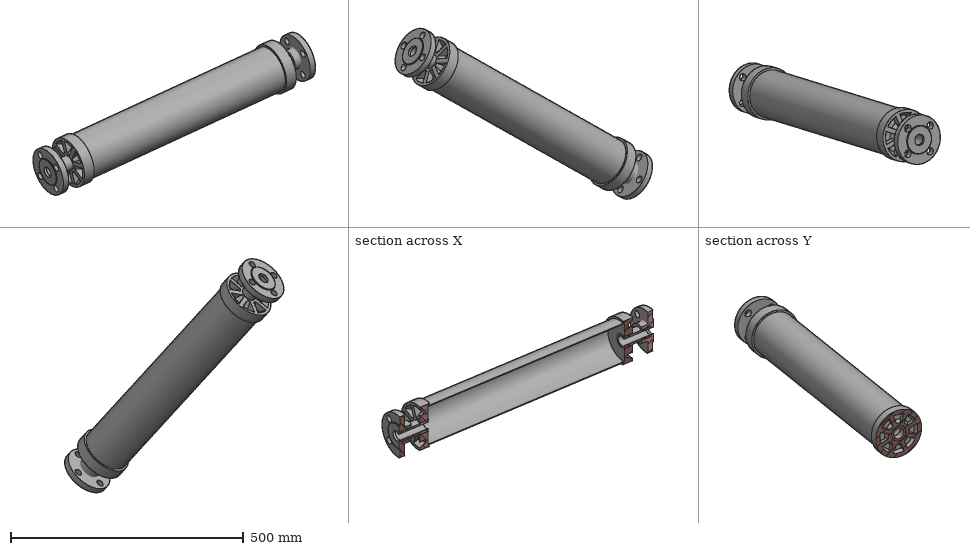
import cadquery as cq
import math

length = 686.0

tube_diameter = 105.0
tube_bore = 99.0

pipe_diameter = 33.5
pipe_bore = 24.0

cap_diameter = 114.5
cap_face_y = 287.0
cap_width = 26.0
cap_socket_depth = 3.0
pocket_depth = 15.0
pocket_draft = math.radians(30)
pocket_mouth_diameter = 101.5
hub_diameter = 44.0
rib_count = 8
rib_width = 10.0

flange_diameter = 108.5
flange_thickness = 14.5
raised_face_diameter = 63.0
raised_face_height = 1.7
raised_face_chamfer = 1.5
collar_diameter = 47.0
collar_end_y = 309.0
collar_fillet = 3.0
pipe_stop_depth = 6.0
bolt_hole_diameter = 16.0
bolt_circle_diameter = 79.5
bolt_count = 4

end_y = length / 2
cap_inner_y = cap_face_y - cap_width
tube_end_y = cap_inner_y + cap_socket_depth
pipe_end_y = end_y - pipe_stop_depth
flange_front_y = end_y - raised_face_height
flange_back_y = flange_front_y - flange_thickness


def rod(diameter, start_y, stop_y):
    """Solid cylinder about the Y axis between two positions along it."""
    plane = cq.Plane(origin=(0, start_y, 0), xDir=(1, 0, 0), normal=(0, 1, 0))
    return cq.Workplane(plane).circle(diameter / 2).extrude(stop_y - start_y)


def pipe(outer_diameter, bore, start_y, stop_y):
    """Hollow cylinder about the Y axis."""
    return rod(outer_diameter, start_y, stop_y).cut(rod(bore, start_y, stop_y))


def revolve_about_y(outline):
    """Turn a closed outline in the XY plane into a solid of revolution about Y."""
    return outline.close().revolve(360, (0, 0, 0), (0, 1, 0))


def make_tube():
    return pipe(tube_diameter, tube_bore, -tube_end_y, tube_end_y)


def make_pipe_stub():
    return pipe(pipe_diameter, pipe_bore, tube_end_y, pipe_end_y)


def make_cap_pockets():
    """Drafted ring between hub and rim, divided into wedge pockets by radial ribs."""
    floor_y = cap_face_y - pocket_depth
    wall_run = pocket_depth * math.tan(pocket_draft)
    hub_radius = hub_diameter / 2
    mouth_radius = pocket_mouth_diameter / 2
    pockets = revolve_about_y(
        cq.Workplane("XY")
        .moveTo(hub_radius, cap_face_y)
        .lineTo(hub_radius + wall_run, floor_y)
        .lineTo(mouth_radius - wall_run, floor_y)
        .lineTo(mouth_radius, cap_face_y)
    )
    rib = (
        cq.Workplane("XY")
        .box(mouth_radius, pocket_depth, rib_width, centered=(False, False, True))
        .translate((0, floor_y, 0))
    )
    rib_spacing = 360 / rib_count
    for i in range(rib_count):
        pockets = pockets.cut(rib.rotate((0, 0, 0), (0, 1, 0), (i + 0.5) * rib_spacing))
    return pockets


def make_cap():
    """Disc with a shallow tube socket inside, a pipe hole and ribbed pockets in its outer face."""
    disc = rod(cap_diameter, cap_inner_y, cap_face_y)
    tube_socket = rod(tube_diameter, cap_inner_y, tube_end_y)
    pipe_hole = rod(pipe_diameter, cap_inner_y, cap_face_y)
    return disc.cut(tube_socket).cut(pipe_hole).cut(make_cap_pockets())


def make_bolt_holes():
    hole = rod(bolt_hole_diameter, flange_back_y, flange_front_y).translate((bolt_circle_diameter / 2, 0, 0))
    bolt_spacing = 360 / bolt_count
    return [hole.rotate((0, 0, 0), (0, 1, 0), (i + 0.5) * bolt_spacing) for i in range(bolt_count)]


def make_flange():
    """Collar, disc and chamfered raised face, bored through with a stopped socket for the pipe."""
    collar_radius = collar_diameter / 2
    flange_radius = flange_diameter / 2
    raised_radius = raised_face_diameter / 2
    flange = revolve_about_y(
        cq.Workplane("XY")
        .moveTo(0, collar_end_y)
        .lineTo(collar_radius, collar_end_y)
        .lineTo(collar_radius, flange_back_y - collar_fillet)
        .tangentArcPoint((collar_radius + collar_fillet, flange_back_y), relative=False)
        .lineTo(flange_radius, flange_back_y)
        .lineTo(flange_radius, flange_front_y)
        .lineTo(raised_radius, flange_front_y)
        .lineTo(raised_radius, end_y - raised_face_chamfer)
        .lineTo(raised_radius - raised_face_chamfer, end_y)
        .lineTo(0, end_y)
    )
    flange = flange.cut(rod(pipe_bore, collar_end_y, end_y))
    flange = flange.cut(rod(pipe_diameter, collar_end_y, pipe_end_y))
    for hole in make_bolt_holes():
        flange = flange.cut(hole)
    return flange


bodies = [make_tube().val()]
for make_body in (make_cap, make_pipe_stub, make_flange):
    back_body = make_body()
    front_body = back_body.mirror("XZ")
    bodies.extend([back_body.val(), front_body.val()])

result = cq.Compound.makeCompound(bodies)